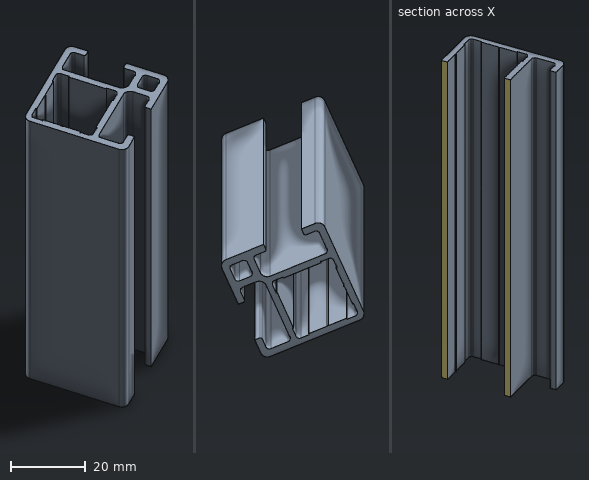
import cadquery as cq

side = 30.0
length = 100.0
outer_radius = 2.0
wall = 2.0

channel_floor = 21.0
slot_width = 11.0
lip_radius = 0.5
channel_radius = 1.0
web_corner_radius = 2.0

pad_wall = 1.9
corner_wall = 1.6
pad_width = 11.0
chamber_radius = 1.0
ridge_height = 0.25
ridge_width = 0.4

corner_start = channel_floor + wall
corner_radius = 1.0

inner_face = side - wall
channel_middle = (wall + channel_floor) / 2
centre = side / 2


def block(x_start, x_end, y_start, y_end):
    """Full-length rectangular prism between the given limits."""
    plane = cq.Workplane("XY").center((x_start + x_end) / 2, (y_start + y_end) / 2)
    return plane.rect(x_end - x_start, y_end - y_start).extrude(length)


def round_edge(solid, x, y, radius):
    """Fillet the lengthwise edge of the solid that lies at the given place."""
    edge = cq.selectors.NearestToPointSelector((x, y, length / 2))
    return solid.edges("|Z").edges(edge).fillet(radius)


def top_channel():
    """Channel behind the +Y face together with its narrower slot opening."""
    slot_start = channel_middle - slot_width / 2
    slot_end = channel_middle + slot_width / 2
    cavity = block(wall, channel_floor, channel_floor, inner_face)
    cavity = cavity.union(block(slot_start, slot_end, inner_face, side))
    cavity = round_edge(cavity, channel_floor, channel_floor, web_corner_radius)
    for x, y in ((wall, channel_floor), (wall, inner_face), (channel_floor, inner_face)):
        cavity = round_edge(cavity, x, y, channel_radius)
    for x in (slot_start, slot_end):
        cavity = round_edge(cavity, x, inner_face, lip_radius)
    return cavity


def mirror_across_diagonal(solid):
    """Swap X and Y: the profile is symmetric about its diagonal."""
    return solid.mirror(cq.Vector(1, -1, 0))


def bottom_ridge():
    """Fine triangular ridge along the middle of the chamber pad on the -Y wall."""
    middle = channel_floor / 2
    outline = [
        (middle - ridge_width / 2, pad_wall),
        (middle + ridge_width / 2, pad_wall),
        (middle, pad_wall + ridge_height),
    ]
    return cq.Workplane("XY").polyline(outline).close().extrude(length)


def main_chamber():
    """Square chamber, relieved near its corners so that a raised pad stands on each wall."""
    low = corner_wall
    high = channel_floor - corner_wall
    chamber = block(low, high, low, high).edges("|Z").fillet(chamber_radius)
    pad_start = (channel_floor - pad_width) / 2
    pad_end = pad_start + pad_width
    for start, end in ((low, pad_wall), (channel_floor - pad_wall, high)):
        chamber = chamber.cut(block(start, end, pad_start, pad_end))
        chamber = chamber.cut(block(pad_start, pad_end, start, end))
    return chamber.cut(bottom_ridge()).cut(mirror_across_diagonal(bottom_ridge()))


def corner_chamber():
    """Small rounded square chamber in the +X +Y corner."""
    chamber = block(corner_start, inner_face, corner_start, inner_face)
    return chamber.edges("|Z").fillet(corner_radius)


body = block(0, side, 0, side).edges("|Z").fillet(outer_radius)
channel = top_channel()
for cavity in (channel, mirror_across_diagonal(channel), main_chamber(), corner_chamber()):
    body = body.cut(cavity)

result = body.translate((-centre, -centre, 0))